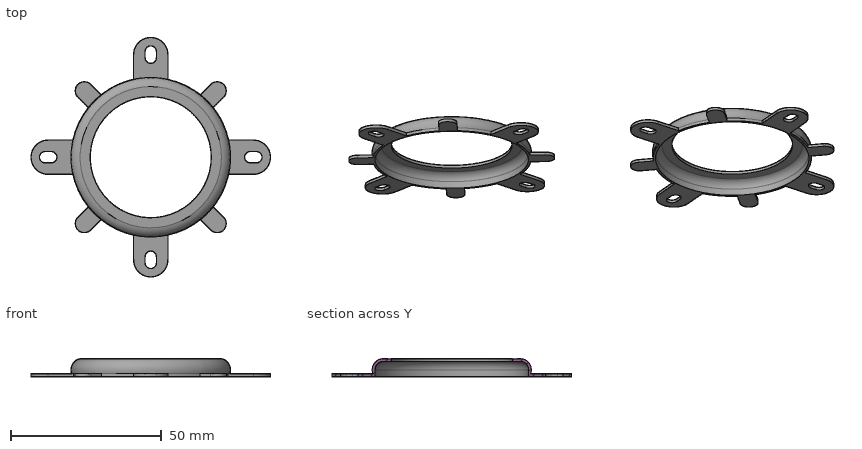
import cadquery as cq
import math

height = 6.0
bore_diameter = 40.0
wall = 1.0
dome_radius = 26.45
dome_arc_radius = 3.8
dome_arc_height = 2.3

plate_thickness = 1.0
arm_tip_radius = 39.7
arm_width = 11.4
tab_tip_radius = 34.15
tab_width = 6.0

slot_width = 3.65
slot_length = 5.7
slot_center_radius = 34.0

bore_radius = bore_diameter / 2
dome_center_radius = dome_radius - dome_arc_radius
cavity_radius = dome_radius - wall
cavity_arc_radius = dome_arc_radius - wall
ceiling_height = height - wall
root_radius = cavity_radius


def arc_point(arc_radius, z):
    """Point (r, z) on an arc about the center of the dome curve."""
    rise = z - dome_arc_height
    return dome_center_radius + math.sqrt(arc_radius**2 - rise**2), z


def make_ring():
    """Revolve the thin section: base rim, rounded dome and flat top lip."""
    dome_start = arc_point(dome_arc_radius, plate_thickness)
    dome_end = arc_point(dome_arc_radius, height)
    ceiling_edge = arc_point(cavity_arc_radius, ceiling_height)
    arc_middle_height = (dome_arc_height + ceiling_height) / 2
    cavity_middle = arc_point(cavity_arc_radius, arc_middle_height)
    return (
        cq.Workplane("XZ")
        .moveTo(cavity_radius, 0)
        .lineTo(dome_start[0], 0)
        .lineTo(*dome_start)
        .threePointArc((dome_radius, dome_arc_height), dome_end)
        .lineTo(bore_radius, height)
        .lineTo(bore_radius, ceiling_height)
        .lineTo(*ceiling_edge)
        .threePointArc(cavity_middle, (cavity_radius, dome_arc_height))
        .close()
        .revolve(360, (0, 0, 0), (0, 1, 0))
    )


def make_finger(tip_radius, width, angle):
    """Flat radial strip with a semicircular tip."""
    end_center = tip_radius - width / 2
    return (
        cq.Workplane("XY")
        .moveTo(root_radius, -width / 2)
        .lineTo(end_center, -width / 2)
        .threePointArc((tip_radius, 0), (end_center, width / 2))
        .lineTo(root_radius, width / 2)
        .close()
        .extrude(plate_thickness)
        .rotate((0, 0, 0), (0, 0, 1), angle)
    )


def make_slot(angle):
    """Cutter for the radial slot through one arm."""
    return (
        cq.Workplane("XY")
        .center(slot_center_radius, 0)
        .slot2D(slot_length, slot_width)
        .extrude(plate_thickness)
        .rotate((0, 0, 0), (0, 0, 1), angle)
    )


result = make_ring()
for arm_angle in (0, 90, 180, 270):
    result = result.union(make_finger(arm_tip_radius, arm_width, arm_angle))
    result = result.cut(make_slot(arm_angle))
    result = result.union(make_finger(tab_tip_radius, tab_width, arm_angle + 45))